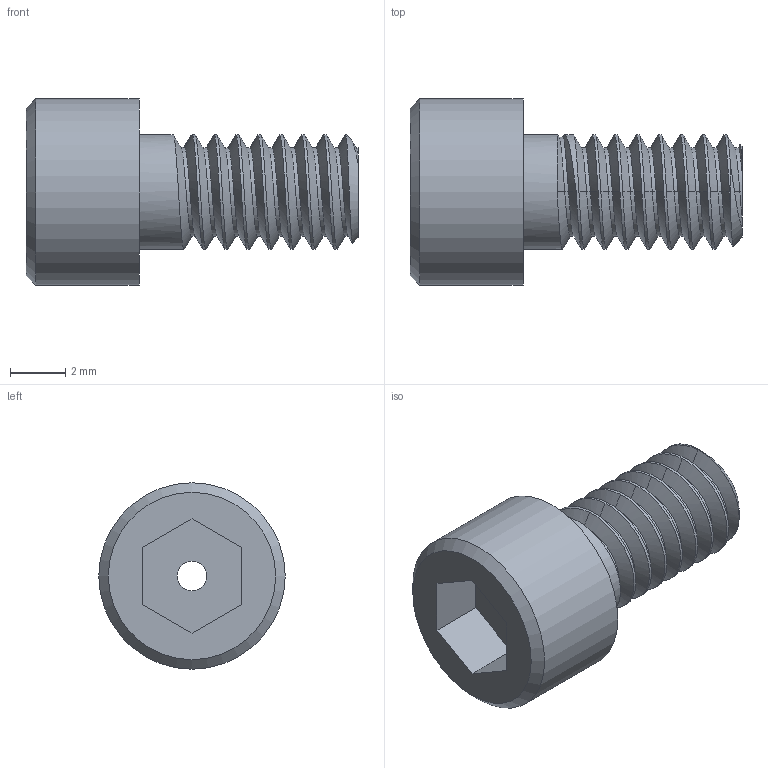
import cadquery as cq
import math


HEAD_DIAMETER = 6.76
HEAD_HEIGHT = 4.10
HEAD_CHAMFER = 0.345

HEX_SIDES = 6
HEX_ACROSS_FLATS = 3.59
HEX_DEPTH = 2.0
BORE_DIAMETER = 1.07

SHANK_DIAMETER = 4.166
SHANK_LENGTH = 7.94
TIP_CHAMFER = 0.42

PITCH = 25.4 / 32
GROOVE_DEPTH = 0.48
FLANK_ANGLE = 30.0
CREST_WIDTH = PITCH / 8
GROOVE_START = 1.58
RUNOUT_TURNS = 0.35
CUT_CLEARANCE = 0.05
CYLINDRICAL_HELIX = 360.0

shank_radius = SHANK_DIAMETER / 2
flank_slope = math.tan(math.radians(FLANK_ANGLE))
root_radius = shank_radius - GROOVE_DEPTH
root_half_width = (PITCH - CREST_WIDTH) / 2 - GROOVE_DEPTH * flank_slope
cutter_radius = shank_radius + CUT_CLEARANCE
cutter_half_width = root_half_width + (cutter_radius - root_radius) * flank_slope


def make_head():
    head = cq.Workplane("YZ").circle(HEAD_DIAMETER / 2).extrude(-HEAD_HEIGHT)
    return head.faces("<X").chamfer(HEAD_CHAMFER)


def make_shank():
    shank = cq.Workplane("YZ").circle(shank_radius).extrude(SHANK_LENGTH)
    return shank.faces(">X").chamfer(TIP_CHAMFER)


def make_socket():
    corner_diameter = HEX_ACROSS_FLATS / math.cos(math.pi / HEX_SIDES)
    socket = cq.Workplane("YZ", origin=(-HEAD_HEIGHT, 0, 0)).polygon(HEX_SIDES, corner_diameter)
    return socket.extrude(HEX_DEPTH).rotate((0, 0, 0), (1, 0, 0), 90)


def make_bore():
    bore = cq.Workplane("YZ", origin=(-HEAD_HEIGHT, 0, 0)).circle(BORE_DIAMETER / 2)
    return bore.extrude(HEAD_HEIGHT + SHANK_LENGTH)


def make_groove_cutter(turns, rise):
    """Groove solid wound about Z from the XZ plane, moving outward by `rise` on the way."""
    height = turns * PITCH
    cone_angle = math.atan2(rise, height)
    slant = 1 / math.cos(cone_angle)
    section = [
        (root_radius, -root_half_width),
        (cutter_radius, -cutter_half_width),
        (cutter_radius, cutter_half_width),
        (root_radius, root_half_width),
    ]
    helix_angle = math.degrees(cone_angle) if rise else CYLINDRICAL_HELIX
    helices = []
    for radius, offset in section:
        start = cq.Vector(0, 0, offset)
        helix = cq.Wire.makeHelix(PITCH * slant, height * slant, radius, start, angle=helix_angle)
        helices.append(helix.Edges()[0])

    sides = []
    for index, helix in enumerate(helices):
        sides.append(cq.Face.makeRuledSurface(helices[index - 1], helix))
    caps = []
    for end in (0, 1):
        corners = [helix.positionAt(end) for helix in helices]
        caps.append(cq.Face.makeFromWires(cq.Wire.makePolygon(corners, close=True)))
    shell = cq.Shell.makeShell(sides + caps)
    cutter = cq.Solid.makeSolid(shell)
    return cq.Workplane(cutter.fix())


def place_on_shank(cutter):
    """Swap the X and Z axes by a half turn, so the groove starts on +Z and advances along +X."""
    return cutter.rotate((0, 0, 0), (1, 0, 1), 180).translate((GROOVE_START, 0, 0))


def cut_thread(shank):
    groove_turn = place_on_shank(make_groove_cutter(1, 0))
    runout = make_groove_cutter(RUNOUT_TURNS, GROOVE_DEPTH + CUT_CLEARANCE).rotate((0, 0, 0), (1, 0, 0), 180)
    threaded = shank.cut(place_on_shank(runout))
    turn_count = math.ceil((SHANK_LENGTH - GROOVE_START) / PITCH) + 1
    for turn in range(turn_count):
        threaded = threaded.cut(groove_turn.translate((turn * PITCH, 0, 0)))
    return threaded


result = make_head().union(cut_thread(make_shank())).cut(make_socket()).cut(make_bore())